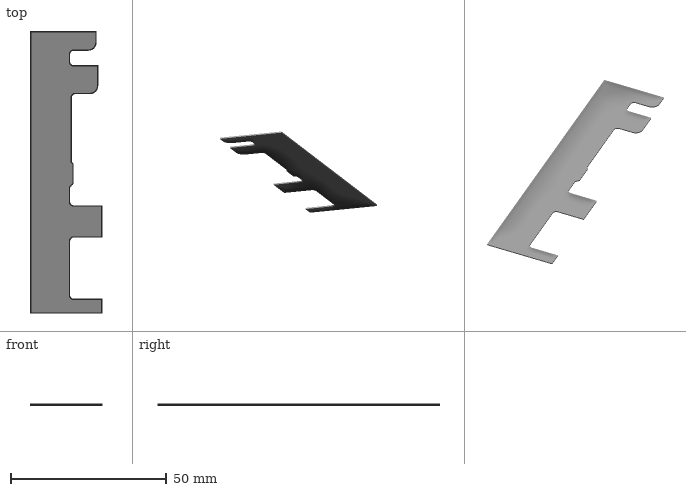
import cadquery as cq

length = 90.5
width = 23.0
thickness = 0.41

notch_floor = 12.6
long_recess_floor = 13.1
bump_face = 13.7
top_tab_end = 21.1
upper_tab_end = 21.6

bottom_tab_top = 4.4
lower_tab_bottom = 24.4
lower_tab_top = 34.5
upper_tab_bottom = 70.6
upper_tab_top = 79.55
top_tab_bottom = 84.5

bump_bottom = 41.6
bump_top = 48.0
bump_lower_slope = bump_face - notch_floor
bump_upper_slope = bump_face - long_recess_floor

inner_radius = 1.3
tab_radius = 2.5
slope_radius = 0.9


def round_corners(body, corners, radius):
    """Fillet the vertical edges standing on the given XY corners."""
    for x, y in corners:
        edge = cq.selectors.NearestToPointSelector((x, y, thickness / 2))
        body = body.edges("|Z").edges(edge).fillet(radius)
    return body


outline = [
    (0, 0),
    (width, 0),
    (width, bottom_tab_top),
    (notch_floor, bottom_tab_top),
    (notch_floor, lower_tab_bottom),
    (width, lower_tab_bottom),
    (width, lower_tab_top),
    (notch_floor, lower_tab_top),
    (notch_floor, bump_bottom - bump_lower_slope),
    (bump_face, bump_bottom),
    (bump_face, bump_top),
    (long_recess_floor, bump_top + bump_upper_slope),
    (long_recess_floor, upper_tab_bottom),
    (upper_tab_end, upper_tab_bottom),
    (upper_tab_end, upper_tab_top),
    (notch_floor, upper_tab_top),
    (notch_floor, top_tab_bottom),
    (top_tab_end, top_tab_bottom),
    (top_tab_end, length),
    (0, length),
]
plate = cq.Workplane("XY").polyline(outline).close().extrude(thickness)

inner_corners = [
    (notch_floor, bottom_tab_top),
    (notch_floor, lower_tab_bottom),
    (notch_floor, lower_tab_top),
    (long_recess_floor, upper_tab_bottom),
    (notch_floor, upper_tab_top),
    (notch_floor, top_tab_bottom),
]
plate = round_corners(plate, inner_corners, inner_radius)

tab_corners = [
    (upper_tab_end, upper_tab_bottom),
    (top_tab_end, top_tab_bottom),
]
plate = round_corners(plate, tab_corners, tab_radius)

slope_foot = [(notch_floor, bump_bottom - bump_lower_slope)]
result = round_corners(plate, slope_foot, slope_radius)